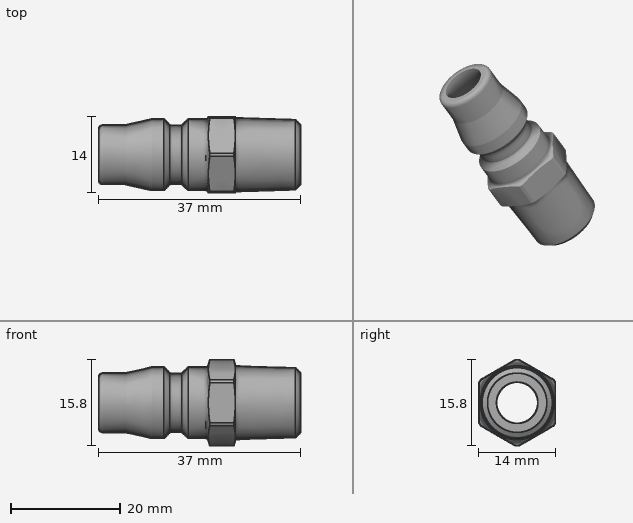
import cadquery as cq

length = 37.0
bore_diameter = 7.5

nose_radius = 10.9 / 2
nose_rounding = 0.8
nose_end = 4.92
collar_radius = 13.1 / 2
front_collar_start = 9.73
front_collar_end = 11.95
groove_radius = 10.8 / 2
groove_start = 13.05
groove_end = 15.2
rear_collar_start = 16.43

hex_across_flats = 14.0
hex_corner_radius = 15.8 / 2
hex_start = 20.1
hex_end = 25.0
hex_bevel_length = 0.25
hex_face_radius = hex_across_flats / 2
collar_fillet = hex_face_radius - collar_radius

taper_ratio = 1 / 16
thread_large_radius = 6.77
thread_chamfer = 1.0
thread_end = length - thread_chamfer
thread_small_radius = thread_large_radius - (thread_end - hex_end) * taper_ratio / 2


def turned_body():
    """Outer profile of the plug and thread, with the hexagon left out."""
    profile = (
        cq.Workplane("XY")
        .lineTo(0, nose_radius - nose_rounding)
        .radiusArc((nose_rounding, nose_radius), nose_rounding)
        .lineTo(nose_end, nose_radius)
        .lineTo(front_collar_start, collar_radius)
        .lineTo(front_collar_end, collar_radius)
        .lineTo(groove_start, groove_radius)
        .lineTo(groove_end, groove_radius)
        .lineTo(rear_collar_start, collar_radius)
        .lineTo(hex_start - collar_fillet, collar_radius)
        .radiusArc((hex_start, hex_face_radius), -collar_fillet)
        .lineTo(hex_start, thread_large_radius)
        .lineTo(hex_end, thread_large_radius)
        .lineTo(thread_end, thread_small_radius)
        .lineTo(length, thread_small_radius - thread_chamfer)
        .lineTo(length, 0)
        .close()
    )
    return profile.revolve(360, (0, 0, 0), (1, 0, 0))


def hexagon():
    """Hexagon with flats facing +/-Y, its corners turned round and bevelled."""
    prism = (
        cq.Workplane("YZ", origin=(hex_start, 0, 0))
        .polygon(6, hex_across_flats, circumscribed=True)
        .extrude(hex_end - hex_start)
    )
    envelope = (
        cq.Workplane("XY")
        .moveTo(hex_start, 0)
        .lineTo(hex_start, hex_face_radius)
        .lineTo(hex_start + hex_bevel_length, hex_corner_radius)
        .lineTo(hex_end - hex_bevel_length, hex_corner_radius)
        .lineTo(hex_end, hex_face_radius)
        .lineTo(hex_end, 0)
        .close()
        .revolve(360, (0, 0, 0), (1, 0, 0))
    )
    return prism.intersect(envelope)


bore = cq.Workplane("YZ").circle(bore_diameter / 2).extrude(length)
result = turned_body().union(hexagon()).cut(bore)